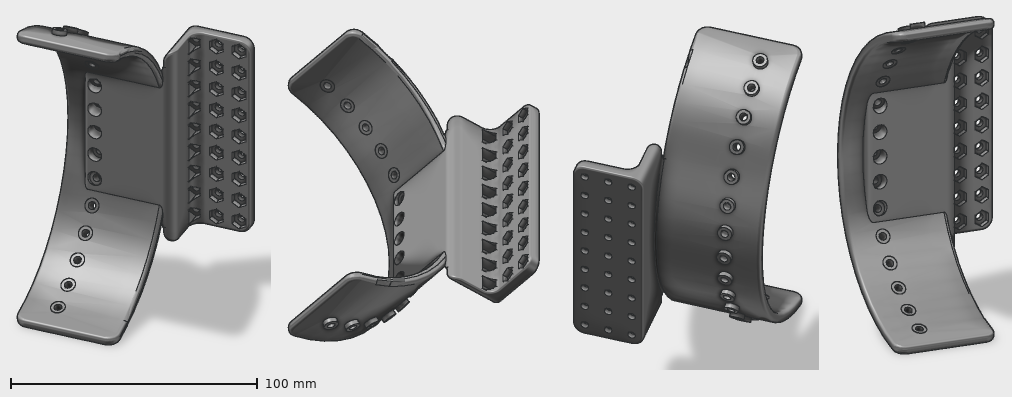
import cadquery as cq
import math

overall_height = 137.4
band_diameter = 140.0
band_radius = band_diameter / 2
wall = 4.0
band_width = 45.0
half_angle = 80
tip_corner = 5.0
band_edge_round = 1.5
inner_radius = band_radius - wall
mid_radius = band_radius - wall / 2

plate = 5.0
bracket_height = 90.0
bracket_width = 30.0
web_depth = 25.0
web_overhang = 15.0
bracket_corner = plate
bend_radius = plate
bracket_edge_round = 1.0
joint_radius = 0.8
flange_back = band_radius + web_overhang
flange_front = flange_back - plate
bend_start = flange_front - bend_radius
web_front = flange_back - web_depth
web_right = band_width + plate
bracket_right = band_width + bracket_width

rows = 9
columns = 3
pitch = bracket_height / rows
bolt_hole = 3.2
nut_flats = 6.0
nut_corners = nut_flats / math.cos(math.pi / 6)
nut_depth = 2.5

pad_left = 10.0
pad_round = 2.0

boss_x = 15.0
boss_diameter = 6.0
boss_hole = 3.2
boss_step = 10
bosses_per_side = 7
boss_angles = [boss_step * index for index in range(-bosses_per_side, bosses_per_side + 1)]
last_angle = math.radians(boss_step * bosses_per_side)
boss_end = (overall_height / 2 - boss_diameter / 2 * math.cos(last_angle)) / math.sin(last_angle)
seat_depth = 0.1
seat_radius = inner_radius + seat_depth
clear_radius = web_front - 4.1


def on_circle(radius, degrees):
    angle = math.radians(degrees)
    return radius * math.cos(angle), radius * math.sin(angle)


def block(x_span, y_span, height):
    """Box between two X and two Y positions, centred on Z = 0."""
    size = (x_span[1] - x_span[0], y_span[1] - y_span[0], height)
    return cq.Workplane("XY").box(*size).translate((sum(x_span) / 2, sum(y_span) / 2, 0))


def radial_cylinders(diameter, start, end):
    """One cylinder per boss, running outward between two distances from the axis."""
    cylinder = cq.Workplane("XZ", origin=(boss_x, start, 0)).circle(diameter / 2).extrude(start - end)
    turned = [cylinder.val().rotate((0, 0, 0), (1, 0, 0), angle) for angle in boss_angles]
    return cq.Workplane("XY").newObject(turned)


def make_band():
    band = (
        cq.Workplane("YZ")
        .moveTo(*on_circle(band_radius, -half_angle))
        .threePointArc((band_radius, 0), on_circle(band_radius, half_angle))
        .lineTo(*on_circle(inner_radius, half_angle))
        .threePointArc((inner_radius, 0), on_circle(inner_radius, -half_angle))
        .close()
        .extrude(band_width)
    )
    for tip in (half_angle, -half_angle):
        for x in (0, band_width):
            corner = cq.NearestToPointSelector((x, *on_circle(mid_radius, tip)))
            band = band.edges(corner).fillet(tip_corner)
    for probe_y in (band_radius, 0):
        surface = cq.NearestToPointSelector((band_width / 2, probe_y, 0))
        band = band.faces(surface).edges().fillet(band_edge_round)
    return band


def make_pad():
    """Filling between the band and a flat face, reaching into the band's wall."""
    pad = block((pad_left, band_width), (web_front, band_radius), bracket_height)
    pad = pad.edges("<X and <Y").fillet(pad_round)
    inside_wall = cq.Workplane("YZ").circle(mid_radius).extrude(band_width)
    return pad.intersect(inside_wall)


def make_bracket():
    section = (
        cq.Workplane("XY", origin=(0, 0, -bracket_height / 2))
        .moveTo(band_width, web_front)
        .radiusArc((web_right, web_front + plate), -plate)
        .lineTo(web_right, bend_start)
        .radiusArc((web_right + bend_radius, flange_front), bend_radius)
        .lineTo(bracket_right, flange_front)
        .lineTo(bracket_right, flange_back)
        .lineTo(band_width, flange_back)
        .close()
        .extrude(bracket_height)
    )
    outline = block((band_width, bracket_right), (0, flange_back), bracket_height)
    bracket = section.intersect(outline.edges("|Y").fillet(bracket_corner))

    front_rim = cq.NearestToPointSelector((bracket_right, flange_front, 0))
    rounded = bracket.faces(">Y").edges().fillet(bracket_edge_round)
    rounded = rounded.edges(front_rim).fillet(bracket_edge_round)

    joined_height = 2 * math.sqrt((band_radius + joint_radius) ** 2 - web_front**2)
    joined_zone = block((band_width, bracket_right), (web_front, bend_start), joined_height)
    return rounded.union(bracket.intersect(joined_zone))


def make_joint():
    """Concave ring from the band's outer surface to the web, filling the band's rounded rim."""
    rim_start = band_width - band_edge_round
    ring = (
        cq.Workplane("XY")
        .moveTo(band_width, mid_radius)
        .lineTo(band_width, band_radius + joint_radius)
        .radiusArc((band_width - joint_radius, band_radius), joint_radius)
        .lineTo(rim_start, band_radius)
        .lineTo(rim_start, mid_radius)
        .close()
        .revolve(360, (0, 0, 0), (1, 0, 0))
    )
    return ring.intersect(block((rim_start, band_width), (web_front, flange_front), bracket_height))


def make_nut_cutters():
    """Hexagons that also clear the bend, each with a round hole through the flange."""
    plane = cq.Plane(origin=(web_right + pitch, bend_start, 0), xDir=(0, 0, 1), normal=(0, 1, 0))
    grid = cq.Workplane(plane).rarray(pitch, pitch, rows, columns)
    pockets = grid.polygon(6, nut_corners).extrude(bend_radius + nut_depth)
    holes = grid.circle(bolt_hole / 2).extrude(bend_radius + plate)
    return pockets.union(holes)


result = make_band().union(make_pad()).union(make_bracket()).union(make_joint())
result = result.union(radial_cylinders(boss_diameter, mid_radius, boss_end))
result = result.cut(radial_cylinders(boss_diameter, clear_radius, seat_radius))
result = result.cut(radial_cylinders(boss_hole, clear_radius, boss_end))
result = result.cut(make_nut_cutters())